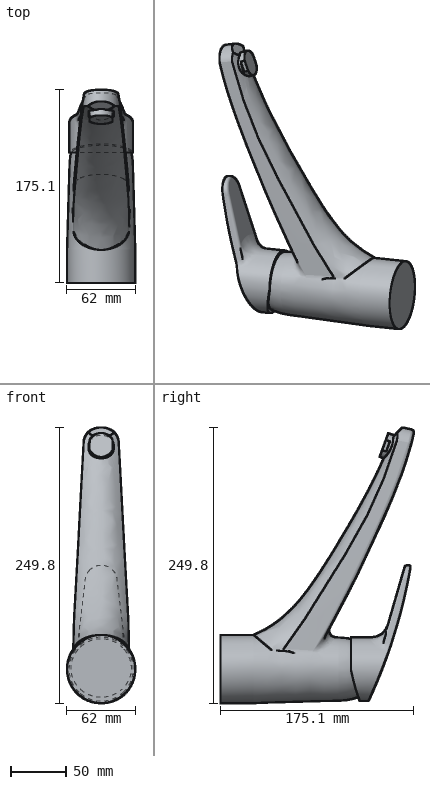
import cadquery as cq
import math


OVERALL_HEIGHT = 249.8

BASE_RADIUS = 31.0
BASE_LENGTH = 30.0
TAPER_END = 107.0
TAPER_RADIUS = 28.8
DOME_MID = (119.0, 27.2)
DOME_END = (128.0, 24.0)

SPOUT_STATIONS = [
    ((74.0, -6.2), (30.0, 31.0), 28.5),
    ((90.8, 22.7), (59.9, 50.2), 24.8),
    ((117.0, 71.5), (90.8, 89.1), 20.4),
    ((152.7, 147.7), (131.8, 158.2), 14.2),
    ((171.1, 197.6), (153.2, 203.9), 13.7),
    ((177.3, 227.1), (164.0, 231.0), 10.5),
]
SPOUT_BACK_POINT = SPOUT_STATIONS[2][0]
SPOUT_TIP_HALF_WIDTH = 16.2
SPOUT_TIP_CENTRE_Z = 201.0
SPOUT_WIDTH_SLOPE = 0.054
SPOUT_MAX_HALF_WIDTH = 25.3
SPOUT_BACK_FILLET = 3.0
SPOUT_ROOT_FILLET = 6.0
SPOUT_ROOT_MIN_Y = 80.0
SPOUT_ROOT_MAX_Y = 100.0
SPOUT_TOP_Z = OVERALL_HEIGHT - BASE_RADIUS
SPOUT_TIP_BACK = (175.15, 216.45)
SPOUT_TIP_TILT = 12.4
SPOUT_TIP_HEIGHT = 17.8
TIP_BEVEL_TOP = (164.5, SPOUT_TOP_Z)
TIP_BEVEL_BOTTOM = (157.0, 211.0)

OUTLET_CENTRE = (147.9, 202.8)
OUTLET_TILT = 20.0
OUTLET_RADIUS = 11.5
OUTLET_LENGTH = 12.0
OUTLET_FLAT_OFFSET = 10.4
OUTLET_FLAT_DEPTH = 4.0

CAP_RADIUS = 29.0
CAP_BACK_Y = 118.0
CAP_LOWER_MID = (121.0, -13.0)
CAP_LOWER_END = (126.0, -CAP_RADIUS)
HANDLE_FRONT_BOTTOM = (134.0, -CAP_RADIUS)
HANDLE_FRONT_MID = (158.3, 34.0)
LEVER_TIP_FRONT = (172.4, 94.0)
LEVER_TIP_INNER_Y = 167.0
LEVER_INNER_SLOPE = 0.29
LEVER_TIP_HALF_WIDTH = 14.5
LEVER_ROOT_HALF_WIDTH = 24.1
LEVER_ROOT_Z = 0.5
LEVER_ROOT_MAX_Y = 152.0
LEVER_INNER_FILLET = 2.5
LEVER_BLEND_RADIUS = 15.0
HANDLE_FRONT_FILLET = 1.5
HANDLE_BLANK_END_Y = 178.0


def make_body():
    """Turned body: straight base, long taper and domed end."""
    return (
        cq.Workplane("XY")
        .lineTo(BASE_RADIUS, 0)
        .lineTo(BASE_RADIUS, BASE_LENGTH)
        .lineTo(TAPER_RADIUS, TAPER_END)
        .threePointArc(DOME_MID[::-1], DOME_END[::-1])
        .lineTo(0, DOME_END[0])
        .close()
        .revolve(360, (0, 0, 0), (0, 1, 0))
    )


def spout_section(back, crown, wall_depth):
    """Closed wire: flat back, two straight side walls and an arched crown."""
    depth = math.dist(back, crown)
    toward_crown = cq.Vector(0, crown[0] - back[0], crown[1] - back[1])
    across = cq.Vector(1, 0, 0)
    plane = cq.Plane((0, *back), across, across.cross(toward_crown))
    wall_end_z = back[1] + (crown[1] - back[1]) * wall_depth / depth
    tapered_half_width = SPOUT_TIP_HALF_WIDTH + SPOUT_WIDTH_SLOPE * (SPOUT_TIP_CENTRE_Z - wall_end_z)
    half_width = min(tapered_half_width, SPOUT_MAX_HALF_WIDTH)
    return (
        cq.Workplane(plane)
        .moveTo(-half_width, 0)
        .lineTo(half_width, 0)
        .lineTo(half_width, wall_depth)
        .threePointArc((0, depth), (-half_width, wall_depth))
        .close()
        .val()
    )


def make_spout():
    """Spout lofted through its stations, with a round tip and rounded back edges."""
    sections = [spout_section(*station) for station in SPOUT_STATIONS]
    spout = cq.Workplane(cq.Solid.makeLoft(sections)).intersect(make_tip_envelope())
    back = spout.faces(cq.selectors.NearestToPointSelector((0, *SPOUT_BACK_POINT)))
    back_edges = back.edges().filter(lambda edge: edge.Center().z > 0)
    return back_edges.fillet(SPOUT_BACK_FILLET).cut(make_tip_bevel())


def make_tip_envelope():
    """Round-ended prism, square to the spout tip, that rounds off the tip."""
    tilt = math.radians(SPOUT_TIP_TILT)
    outward = cq.Vector(0, math.cos(tilt), -math.sin(tilt))
    plane = cq.Plane((0, *SPOUT_TIP_BACK), (-1, 0, 0), outward)
    reach = 2 * BASE_RADIUS
    shoulder = -SPOUT_TIP_HEIGHT
    bottom = -2 * SPOUT_TOP_Z
    return (
        cq.Workplane(plane)
        .moveTo(SPOUT_TIP_HALF_WIDTH, shoulder)
        .threePointArc((0, 0), (-SPOUT_TIP_HALF_WIDTH, shoulder))
        .lineTo(-reach, bottom)
        .lineTo(reach, bottom)
        .close()
        .extrude(4 * reach, both=True)
    )


def make_tip_bevel():
    """Wedge that bevels the crown side of the spout tip."""
    return (
        cq.Workplane("YZ")
        .moveTo(*TIP_BEVEL_TOP)
        .lineTo(*TIP_BEVEL_BOTTOM)
        .lineTo(TIP_BEVEL_BOTTOM[0] - BASE_RADIUS, TIP_BEVEL_BOTTOM[1])
        .lineTo(TIP_BEVEL_BOTTOM[0] - BASE_RADIUS, SPOUT_TOP_Z + BASE_RADIUS)
        .lineTo(TIP_BEVEL_TOP[0], SPOUT_TOP_Z + BASE_RADIUS)
        .close()
        .extrude(BASE_RADIUS, both=True)
    )


def make_outlet():
    """Short cylinder, facing forward and upward, with a spanner flat on each side of its rim."""
    tilt = math.radians(OUTLET_TILT)
    inward = cq.Vector(0, math.cos(tilt), -math.sin(tilt))
    plane = cq.Plane((0, *OUTLET_CENTRE), (1, 0, 0), inward)
    barrel = cq.Workplane(plane).circle(OUTLET_RADIUS).extrude(OUTLET_LENGTH)
    between_flats = (
        cq.Workplane(plane)
        .rect(2 * OUTLET_FLAT_OFFSET, 2 * OUTLET_RADIUS)
        .extrude(OUTLET_FLAT_DEPTH)
    )
    behind_flats = (
        cq.Workplane(plane)
        .workplane(offset=OUTLET_FLAT_DEPTH)
        .circle(OUTLET_RADIUS)
        .extrude(OUTLET_LENGTH - OUTLET_FLAT_DEPTH)
    )
    return barrel.intersect(between_flats.union(behind_flats))


def make_lever():
    """Tapered, round-ended plate with a leaning inner face and rounded inner edges."""
    tip_z = LEVER_TIP_FRONT[1]
    root_inner_y = LEVER_TIP_INNER_Y - LEVER_INNER_SLOPE * (tip_z - LEVER_ROOT_Z)
    side = (
        cq.Workplane("YZ")
        .moveTo(root_inner_y, LEVER_ROOT_Z)
        .lineTo(LEVER_TIP_INNER_Y, tip_z)
        .lineTo(HANDLE_BLANK_END_Y, tip_z)
        .lineTo(HANDLE_BLANK_END_Y, LEVER_ROOT_Z)
        .close()
        .extrude(CAP_RADIUS, both=True)
    )
    tip_centre_z = tip_z - LEVER_TIP_HALF_WIDTH
    outline = (
        cq.Workplane("XZ")
        .moveTo(LEVER_TIP_HALF_WIDTH, tip_centre_z)
        .threePointArc((0, tip_z), (-LEVER_TIP_HALF_WIDTH, tip_centre_z))
        .lineTo(-LEVER_ROOT_HALF_WIDTH, LEVER_ROOT_Z)
        .lineTo(LEVER_ROOT_HALF_WIDTH, LEVER_ROOT_Z)
        .close()
        .extrude(-HANDLE_BLANK_END_Y)
    )
    lever = side.intersect(outline)
    inner_edges = lever.faces("<Y").edges().filter(lambda edge: edge.Center().z > CAP_RADIUS)
    return inner_edges.fillet(LEVER_INNER_FILLET)


def make_handle_side():
    """Side outline of the whole handle: bowed front, upright back with a swept lower part."""
    return (
        cq.Workplane("YZ")
        .moveTo(*HANDLE_FRONT_BOTTOM)
        .threePointArc(HANDLE_FRONT_MID, LEVER_TIP_FRONT)
        .lineTo(CAP_BACK_Y, LEVER_TIP_FRONT[1])
        .lineTo(CAP_BACK_Y, 0)
        .threePointArc(CAP_LOWER_MID, CAP_LOWER_END)
        .close()
        .extrude(CAP_RADIUS, both=True)
    )


def is_lever_root_edge(edge):
    """True for the seam where the inner face of the lever meets the top of the cap."""
    box = edge.BoundingBox()
    return CAP_BACK_Y < box.ymin and box.ymax < LEVER_ROOT_MAX_Y and box.zmin > LEVER_ROOT_Z


def make_handle():
    """Cap and lever joined by a blend, trimmed to the side outline, with a rounded front rim."""
    cap_length = HANDLE_BLANK_END_Y - CAP_BACK_Y
    cap = cq.Workplane("XZ", origin=(0, CAP_BACK_Y, 0)).circle(CAP_RADIUS).extrude(-cap_length)
    blank = cap.union(make_lever())
    blank = blank.edges().filter(is_lever_root_edge).fillet(LEVER_BLEND_RADIUS)
    handle = blank.intersect(make_handle_side())
    front = handle.faces(cq.selectors.NearestToPointSelector((0, *HANDLE_FRONT_MID)))
    return front.edges().fillet(HANDLE_FRONT_FILLET)


def is_spout_root_edge(edge):
    """True for the seam around the back of the spout, where it meets the body."""
    box = edge.BoundingBox()
    behind_spout = SPOUT_ROOT_MIN_Y < box.ymin and box.ymax < SPOUT_ROOT_MAX_Y
    return behind_spout and 0 < box.zmin and box.zmax < BASE_RADIUS


spout = make_spout()
body = make_body().union(spout)
body = body.edges().filter(is_spout_root_edge).fillet(SPOUT_ROOT_FILLET)
result = body.union(make_outlet()).union(make_handle())